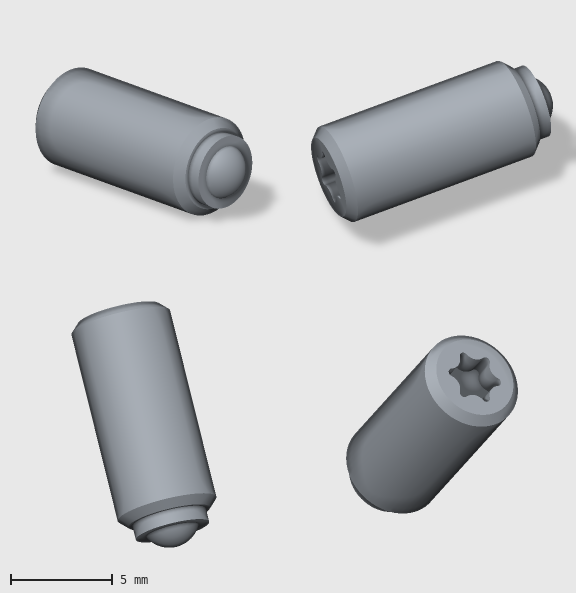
import cadquery as cq
import math

total_length = 12.0
body_diameter = 5.0
body_length = 10.5
end_chamfer = 0.43

collar_diameter = 3.72
collar_length = 0.7
ball_diameter = 3.0
ball_radius = ball_diameter / 2
ball_center_x = total_length - ball_radius

lobe_count = 6
socket_tip_radius = 1.4
socket_root_radius = 1.01
lobe_round_radius = 0.22
socket_depth = 1.35


def polar(radius, angle):
    """Point at a distance from the axis and an angle in radians."""
    return radius * math.cos(angle), radius * math.sin(angle)


def point_toward(start, end, distance):
    """Point at a distance from start on the line toward end."""
    fraction = distance / math.dist(start, end)
    return tuple(s + (e - s) * fraction for s, e in zip(start, end))


def make_socket():
    """Six-lobe prism to be removed from the drive end."""
    half_pitch = math.pi / lobe_count
    lobe_center_radius = socket_tip_radius - lobe_round_radius

    cos_half = math.cos(half_pitch)
    flank_radius = (
        lobe_center_radius**2
        + socket_root_radius**2
        - 2 * lobe_center_radius * socket_root_radius * cos_half
        - lobe_round_radius**2
    ) / (2 * (lobe_round_radius - socket_root_radius + lobe_center_radius * cos_half))
    flank_center_radius = socket_root_radius + flank_radius

    def tangent_point(lobe_angle, side):
        lobe_center = polar(lobe_center_radius, lobe_angle)
        flank_center = polar(flank_center_radius, lobe_angle + side * half_pitch)
        return point_toward(lobe_center, flank_center, lobe_round_radius)

    outline = cq.Workplane("YZ").moveTo(*tangent_point(0, -1))
    for lobe in range(lobe_count):
        angle = 2 * half_pitch * lobe
        next_angle = angle + 2 * half_pitch
        outline = outline.threePointArc(polar(socket_tip_radius, angle), tangent_point(angle, 1))
        outline = outline.threePointArc(
            polar(socket_root_radius, angle + half_pitch), tangent_point(next_angle, -1)
        )
    return outline.close().extrude(socket_depth)


def make_housing():
    """Chamfered cylinder with a drive socket in one end."""
    barrel = cq.Workplane("YZ").circle(body_diameter / 2).extrude(body_length)
    barrel = barrel.faces("<X or >X").chamfer(end_chamfer)
    return barrel.cut(make_socket())


def make_pin():
    """Collar seated on the housing end, with a ball-shaped tip."""
    collar = (
        cq.Workplane("YZ")
        .workplane(offset=body_length)
        .circle(collar_diameter / 2)
        .extrude(collar_length)
    )
    ball = cq.Workplane("XY").sphere(ball_radius).translate((ball_center_x, 0, 0))
    behind_seat = cq.Workplane("YZ").circle(body_diameter / 2).extrude(body_length)
    return collar.union(ball.cut(behind_seat))


housing = make_housing()
pin = make_pin()

result = cq.Compound.makeCompound([housing.val(), pin.val()])